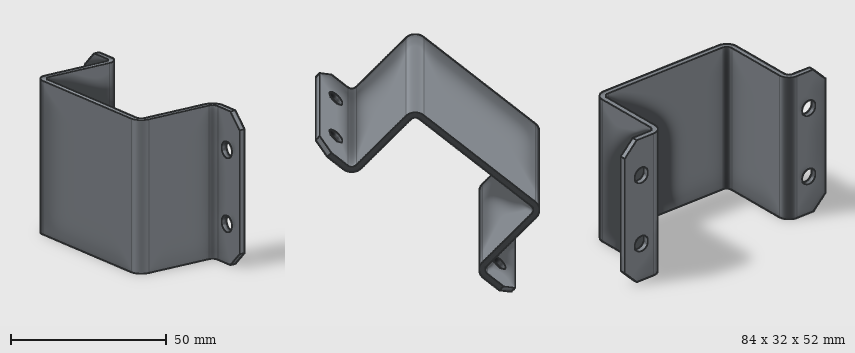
import cadquery as cq

width = 84.0
depth = 32.0
height = 52.0

thickness = 2.0
inner_radius = 2.0
outer_radius = inner_radius + thickness
channel_width = 56.0

corner_chamfer = 5.0
hole_diameter = 5.55
hole_edge_distance = 7.0
hole_spacing = 25.0

half_width = width / 2
half_channel = channel_width / 2
half_inside = half_channel - thickness
flange_front = depth - thickness


def bent_sheet():
    """Hat section with sharp bends, extruded along Z, then rounded at each bend."""
    right_half = [
        (half_channel, 0),
        (half_channel, flange_front),
        (half_width, flange_front),
        (half_width, depth),
        (half_inside, depth),
        (half_inside, thickness),
    ]
    left_half = [(-x, y) for x, y in reversed(right_half)]
    sheet = cq.Workplane("XY").polyline(right_half + left_half).close().extrude(height)

    outer_bends = [(half_channel, 0), (half_inside, depth)]
    inner_bends = [(half_inside, thickness), (half_channel, flange_front)]
    for bends, radius in ((outer_bends, outer_radius), (inner_bends, inner_radius)):
        for x, y in bends:
            for side in (-1, 1):
                bend_edge = cq.selectors.NearestToPointSelector((side * x, y, height / 2))
                sheet = sheet.edges("|Z").edges(bend_edge).fillet(radius)
    return sheet


def flange_holes():
    """Four mounting holes through the flanges, along Y."""
    return (
        cq.Workplane("XZ", origin=(0, depth, height / 2))
        .rarray(width - 2 * hole_edge_distance, hole_spacing, 2, 2)
        .circle(hole_diameter / 2)
        .extrude(thickness)
    )


bracket = bent_sheet()
bracket = bracket.faces("<X or >X").edges("|Y").chamfer(corner_chamfer)
result = bracket.cut(flange_holes())